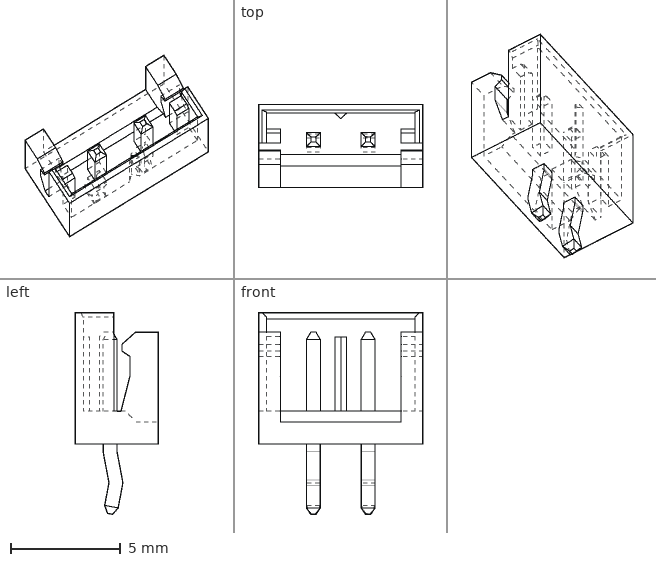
import cadquery as cq
import math

overall_height = 9.21
width = 7.5
depth = 3.8
housing_height = 6.0
floor_z = 1.5

wall_depth = 1.77
side_wall = 0.35
back_wall = 0.4
side_bevel = 0.18
side_bevel_height = 0.2
back_bevel = 0.13
back_bevel_height = 0.3

arm_width = 0.995
arm_top_z = 5.1
hook_top_y = 1.05
hook_y = 1.67
hook_upper_z = 4.55
hook_lower_z = 4.24
arm_back_y = 1.31
neck_top_z = 4.0
neck_bottom_z = 3.085
slot_front_y = 1.71
sill_z = 1.0
sill_front_y = 0.995
sill_back_y = 1.52

post_depth = 0.645
post_chamfer = 0.19

rib_width = 0.54
rib_depth = 0.26
rib_top_z = 4.88

pin_size = 0.64
pin_pitch = 2.5
pin_y = 2.2
tip_length = 0.34
tip_size = 0.24
upper_bend_z = -0.35
lower_bend_z = -1.77
bend_angle = math.radians(10.7)

pin_top_z = arm_top_z
pin_bottom_z = housing_height - overall_height
wall_front_y = depth - wall_depth
cavity_back_y = depth - back_wall
cavity_half_width = width / 2 - side_wall
window_half_width = width / 2 - arm_width


def prism_along_x(points, x_start, x_end):
    """Extrude a closed (Y, Z) outline from x_start to x_end."""
    plane = cq.Workplane("YZ", origin=(x_start, 0, 0))
    return plane.polyline(points).close().extrude(x_end - x_start)


def prism_along_z(points, z_start, z_end):
    """Extrude a closed (X, Y) outline from z_start to z_end."""
    plane = cq.Workplane("XY", origin=(0, 0, z_start))
    return plane.polyline(points).close().extrude(z_end - z_start)


def block():
    """Full-width body with the slot that separates the arms from the walls."""
    outline = [
        (0, 0),
        (0, arm_top_z),
        (hook_top_y, arm_top_z),
        (hook_y, hook_upper_z),
        (hook_y, hook_lower_z),
        (arm_back_y, neck_top_z),
        (arm_back_y, neck_bottom_z),
        (slot_front_y, floor_z),
        (wall_front_y, floor_z),
        (wall_front_y, housing_height),
        (depth, housing_height),
        (depth, 0),
    ]
    return prism_along_x(outline, -width / 2, width / 2)


def front_window():
    """Opening between the arms, with its sill sloping up to the cavity floor."""
    outline = [
        (0, sill_z),
        (sill_front_y, sill_z),
        (sill_back_y, floor_z),
        (wall_front_y, floor_z),
        (wall_front_y, housing_height),
        (0, housing_height),
    ]
    return prism_along_x(outline, -window_half_width, window_half_width)


def cavity():
    """Pocket between the walls, open at the front and flared at its mouth."""
    lengthwise = [
        (wall_front_y, floor_z),
        (cavity_back_y, floor_z),
        (cavity_back_y, housing_height - back_bevel_height),
        (cavity_back_y + back_bevel, housing_height),
        (wall_front_y, housing_height),
    ]
    mouth_half_width = cavity_half_width + side_bevel
    crosswise = [
        (-cavity_half_width, floor_z),
        (cavity_half_width, floor_z),
        (cavity_half_width, housing_height - side_bevel_height),
        (mouth_half_width, housing_height),
        (-mouth_half_width, housing_height),
        (-cavity_half_width, housing_height - side_bevel_height),
    ]
    full_width = prism_along_x(lengthwise, -width / 2, width / 2)
    full_depth = cq.Workplane("XZ").polyline(crosswise).close().extrude(-depth)
    return full_width.intersect(full_depth)


def post(side):
    """Post against one side wall, chamfered along its rear top edge."""
    post_back_y = wall_front_y + post_depth
    outline = [
        (wall_front_y, floor_z),
        (wall_front_y, arm_top_z),
        (post_back_y - post_chamfer, arm_top_z),
        (post_back_y, arm_top_z - post_chamfer),
        (post_back_y, floor_z),
    ]
    return prism_along_x(outline, side * window_half_width, side * cavity_half_width)


def rib():
    outline = [
        (-rib_width / 2, cavity_back_y),
        (0, cavity_back_y - rib_depth),
        (rib_width / 2, cavity_back_y),
    ]
    return prism_along_z(outline, floor_z, rib_top_z)


def pin_tip(x, y, z, direction):
    """Tapered square end starting at a point and running along a direction."""
    taper = math.degrees(math.atan((pin_size - tip_size) / 2 / tip_length))
    plane = cq.Plane(origin=(x, y, z), xDir=(1, 0, 0), normal=direction)
    return cq.Workplane(plane).rect(pin_size, pin_size).extrude(tip_length, taper=taper)


def pin(x):
    """Pin bent forward then back by one angle; each bend pivots on its inner corner."""
    sine = math.sin(bend_angle)
    cosine = math.cos(bend_angle)
    half_sine = math.sin(bend_angle / 2)
    half_cosine = math.cos(bend_angle / 2)
    front_y = pin_y - pin_size / 2
    back_y = pin_y + pin_size / 2
    shank_top_z = pin_top_z - tip_length

    upper_arc_middle = (front_y + pin_size * half_cosine, upper_bend_z - pin_size * half_sine)
    upper_arc_end = (front_y + pin_size * cosine, upper_bend_z - pin_size * sine)

    inner_y = upper_arc_end[0] - (upper_arc_end[1] - lower_bend_z) * sine / cosine
    lower_arc_start = (inner_y - pin_size * cosine, lower_bend_z + pin_size * sine)
    lower_arc_middle = (inner_y - pin_size, lower_bend_z)
    lower_arc_end = (inner_y - pin_size * cosine, lower_bend_z - pin_size * sine)

    end_z = pin_bottom_z + tip_length * cosine + tip_size / 2 * sine
    end_front_z = end_z - pin_size / 2 * sine
    end_front_y = lower_arc_end[0] + (lower_arc_end[1] - end_front_z) * sine / cosine
    end_y = end_front_y + pin_size / 2 * cosine
    end_back = (end_front_y + pin_size * cosine, end_front_z + pin_size * sine)

    shank = (
        cq.Workplane("YZ", origin=(x, 0, 0))
        .moveTo(front_y, shank_top_z)
        .lineTo(back_y, shank_top_z)
        .lineTo(back_y, upper_bend_z)
        .threePointArc(upper_arc_middle, upper_arc_end)
        .lineTo(inner_y, lower_bend_z)
        .lineTo(*end_back)
        .lineTo(end_front_y, end_front_z)
        .lineTo(*lower_arc_end)
        .threePointArc(lower_arc_middle, lower_arc_start)
        .lineTo(front_y, upper_bend_z)
        .close()
        .extrude(pin_size / 2, both=True)
    )
    upper_tip = pin_tip(x, pin_y, shank_top_z, (0, 0, 1))
    lower_tip = pin_tip(x, end_y, end_z, (0, sine, -cosine))
    return shank.union(upper_tip).union(lower_tip)


housing = block().cut(front_window()).cut(cavity())
housing = housing.union(rib())
for side in (-1, 1):
    housing = housing.union(post(side))

result = housing
for side in (-1, 1):
    result = result.union(pin(side * pin_pitch / 2))